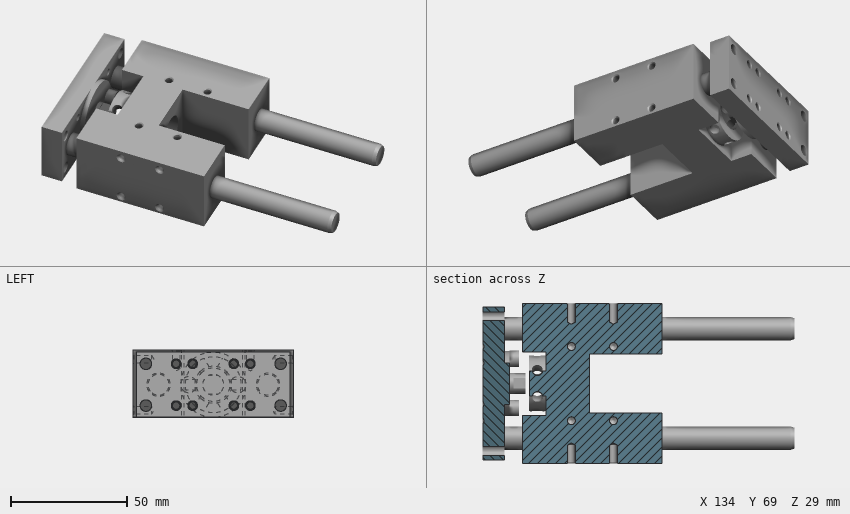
import cadquery as cq
import math

plate_height = 28.0
axis_z = plate_height / 2
total_length = 134.0
rod_diameter = 10.0
rod_spacing = 47.0
rod_y = rod_spacing / 2

housing_start_x = 17.0
housing_length = 60.0
housing_width = 69.0
housing_height = 29.0
housing_end_x = housing_start_x + housing_length
web_start_x = 27.1
web_end_x = 46.0
recess_width = 27.1
slot_width = 25.2

collar_start_x = 20.0
collar_diameter = 24.0
collar_bore_diameter = 14.3
web_bore_diameter = 16.0
wrench_hole_diameter = 4.5
wrench_hole_count = 6

thread_diameter = 3.2
thread_mouth_diameter = 4.2
thread_depth = 8.0
drill_tip_angle = 118
mouth_chamfer = (thread_mouth_diameter - thread_diameter) / 2
mount_hole_xs = (38.0, 56.1)
top_hole_y = 16.0
side_hole_offset_z = 11.0

plate_thickness = 9.5
plate_width = 65.9
dowel_hole_diameter = 5.0
dowel_hole_y = 29.0
plate_thread_ys = (8.8, 16.0)
plate_hole_offset_z = 9.0

flange_diameter = plate_height
flange_end_x = 11.7
stud_diameter = 9.0
stud_end_x = 18.5
stud_flat_start_x = 13.4
stud_flat_spacing = 7.8
screw_head_diameter = 7.0
screw_head_end_x = 15.7
screw_y = 10.6

tip_length = 1.6
tip_inset = 0.5


def block_x(start_x, end_x, width, height):
    """Box between two X positions, centred on Y = 0 and standing on Z = 0."""
    return cq.Workplane("XY").box(
        end_x - start_x, width, height, centered=(False, True, False)
    ).translate((start_x, 0, 0))


def cylinder_x(start_x, end_x, diameter, y=0.0, z=axis_z):
    """Cylinder parallel to X."""
    end_face = cq.Workplane("YZ", origin=(start_x, y, z))
    return end_face.circle(diameter / 2).extrude(end_x - start_x)


def threaded_hole(point, direction):
    """Cutter for a blind hole with a countersunk mouth and a conical drill tip."""
    radius = thread_diameter / 2
    tip_depth = radius / math.tan(math.radians(drill_tip_angle / 2))
    axis = cq.Vector(*direction)
    mouth = cq.Vector(*point)
    bottom = mouth + axis * thread_depth
    drill = cq.Solid.makeCylinder(radius, thread_depth, mouth, axis)
    tip = cq.Solid.makeCone(radius, 0, tip_depth, bottom, axis)
    countersink = cq.Solid.makeCone(thread_mouth_diameter / 2, radius, mouth_chamfer, mouth, axis)
    return drill.fuse(tip, countersink)


def collar():
    """Ring with radial wrench holes through its wall."""
    ring = cylinder_x(collar_start_x, web_start_x, collar_diameter)
    middle_x = (collar_start_x + web_start_x) / 2
    step = 360 / wrench_hole_count
    drill = cq.Workplane("XY", origin=(middle_x, 0, axis_z))
    drill = drill.circle(wrench_hole_diameter / 2).extrude(collar_diameter)
    axis_start = (0, 0, axis_z)
    axis_end = (1, 0, axis_z)
    for i in range(wrench_hole_count):
        ring = ring.cut(drill.rotate(axis_start, axis_end, (i + 0.5) * step))
    return ring


def make_housing():
    """H-shaped block with the collar, the rod bores and the mounting holes."""
    body = block_x(housing_start_x, housing_end_x, housing_width, housing_height)
    body = body.cut(block_x(housing_start_x, web_start_x, recess_width, housing_height))
    body = body.cut(block_x(web_end_x, housing_end_x, slot_width, housing_height))
    body = body.union(collar())
    body = body.cut(cylinder_x(collar_start_x, web_start_x, collar_bore_diameter))
    body = body.cut(cylinder_x(web_start_x, web_end_x, web_bore_diameter))
    for side in (-1, 1):
        body = body.cut(cylinder_x(housing_start_x, housing_end_x, rod_diameter, side * rod_y))
        for x in mount_hole_xs:
            top_point = (x, side * top_hole_y, housing_height)
            body = body.cut(threaded_hole(top_point, (0, 0, -1)))
            for level in (-1, 1):
                side_point = (x, side * housing_width / 2, axis_z + level * side_hole_offset_z)
                body = body.cut(threaded_hole(side_point, (0, -side, 0)))
    return body


def drilled_plate():
    """End plate with plain dowel holes and countersunk threaded holes, all through."""
    plate = block_x(0, plate_thickness, plate_width, plate_height)
    for side in (-1, 1):
        for level in (-1, 1):
            z = axis_z + level * plate_hole_offset_z
            plate = plate.cut(cylinder_x(0, plate_thickness, dowel_hole_diameter, side * dowel_hole_y, z))
            for thread_y in plate_thread_ys:
                y = side * thread_y
                plate = plate.cut(cylinder_x(0, plate_thickness, thread_diameter, y, z))
                mouth = cq.Solid.makeCone(
                    thread_mouth_diameter / 2, thread_diameter / 2, mouth_chamfer,
                    cq.Vector(0, y, z), cq.Vector(1, 0, 0),
                )
                plate = plate.cut(mouth)
    return plate


def coupling():
    """Round flange with a stud that has two wrench flats, and two screw heads."""
    flats = block_x(stud_flat_start_x, stud_end_x, stud_diameter, stud_flat_spacing)
    flats = flats.translate((0, 0, axis_z - stud_flat_spacing / 2))
    flatted_end = cylinder_x(stud_flat_start_x, stud_end_x, stud_diameter).intersect(flats)
    stud = cylinder_x(flange_end_x, stud_flat_start_x, stud_diameter).union(flatted_end)
    unit = cylinder_x(plate_thickness, flange_end_x, flange_diameter).union(stud)
    for side in (-1, 1):
        unit = unit.union(cylinder_x(flange_end_x, screw_head_end_x, screw_head_diameter, side * screw_y))
    return unit


def guide_rod(y):
    """Rod from the back of the plate to a tapered tip."""
    radius = rod_diameter / 2
    profile = cq.Workplane("XY").polyline([
        (plate_thickness, 0),
        (plate_thickness, radius),
        (total_length - tip_length, radius),
        (total_length, radius - tip_inset),
        (total_length, 0),
    ]).close()
    return profile.revolve(360, (0, 0, 0), (1, 0, 0)).translate((0, y, axis_z))


def make_slide():
    """Plate, coupling and both guide rods as one body."""
    body = drilled_plate().union(coupling())
    for side in (-1, 1):
        body = body.union(guide_rod(side * rod_y))
    return body


housing = make_housing()
slide = make_slide()
result = cq.Compound.makeCompound([housing.solids().val(), slide.solids().val()])